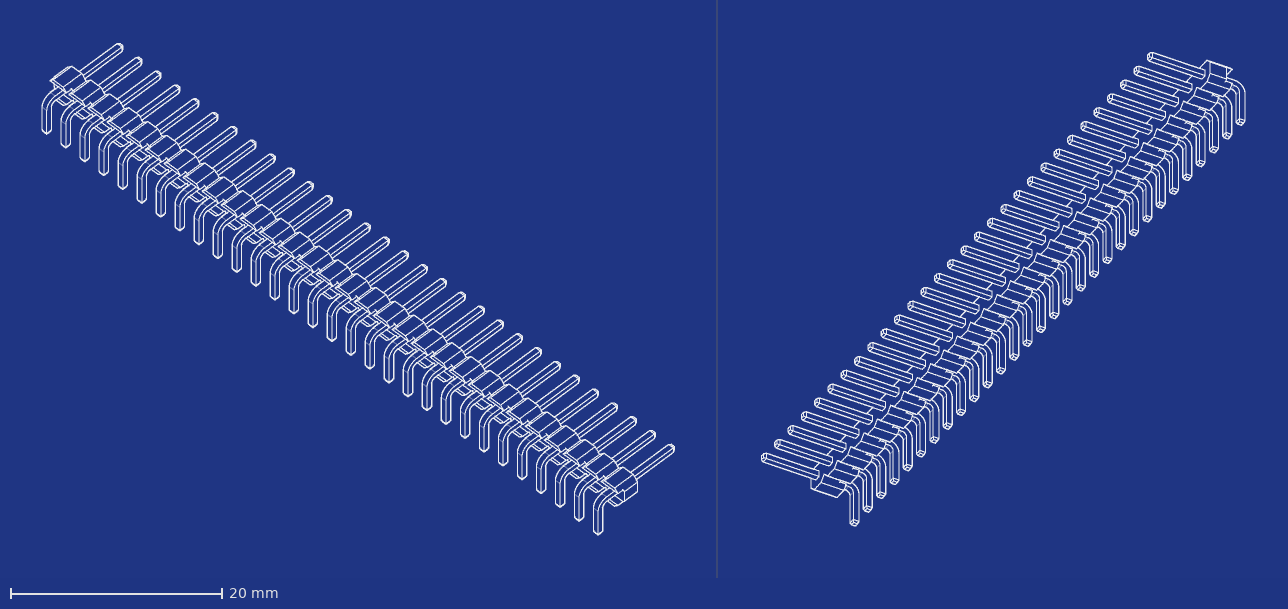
import cadquery as cq

PIN_COUNT = 30
PITCH = 2.54

TOTAL_DEPTH = 10.36
TOTAL_HEIGHT = 5.54

HOUSING_DEPTH = 2.5
HOUSING_HEIGHT = 2.54
CORNER_CHAMFER = 0.6
RECESS_DEPTH = 0.7
FLANGE_THICKNESS = 0.45

PIN_WIDTH = 0.64
TAIL_LENGTH = 6.0
BEND_INNER_RADIUS = 0.5
TIP_LENGTH = 0.25
TIP_WIDTH = 0.44

HOUSING_LENGTH = PIN_COUNT * PITCH
BEND_OUTER_RADIUS = BEND_INNER_RADIUS + PIN_WIDTH
HALF_PIN = PIN_WIDTH / 2
LEG_FRONT_Y = TAIL_LENGTH - TOTAL_DEPTH
LEG_BOTTOM_Z = HOUSING_HEIGHT / 2 - TOTAL_HEIGHT


def pin_positions():
    """X position of every pin along the row."""
    first = -(PIN_COUNT - 1) * PITCH / 2
    return [(first + i * PITCH, 0) for i in range(PIN_COUNT)]


def make_housing():
    """Row of eight-sided segments, with a recess along the front between two flanges."""
    segment = (
        cq.Workplane("XY")
        .box(PITCH, HOUSING_DEPTH, HOUSING_HEIGHT)
        .edges("|Y")
        .chamfer(CORNER_CHAMFER)
        .translate((0, -HOUSING_DEPTH / 2, 0))
        .val()
    )
    row = cq.Workplane("XY").pushPoints(pin_positions()).eachpoint(segment, combine=True)
    recess_height = HOUSING_HEIGHT - 2 * FLANGE_THICKNESS
    recess = (
        cq.Workplane("XY")
        .box(HOUSING_LENGTH, RECESS_DEPTH, recess_height)
        .translate((0, -HOUSING_DEPTH + RECESS_DEPTH / 2, 0))
    )
    return row.cut(recess)


def make_tip(plane):
    """Square pin end that tapers from the pin width to the tip width."""
    return (
        cq.Workplane(plane)
        .rect(PIN_WIDTH, PIN_WIDTH)
        .workplane(offset=TIP_LENGTH)
        .rect(TIP_WIDTH, TIP_WIDTH)
        .loft(ruled=True)
    )


def make_pin():
    """Square pin at X = 0 with a right-angle bend and two tapered ends."""
    tail_y = TAIL_LENGTH - TIP_LENGTH
    leg_z = LEG_BOTTOM_Z + TIP_LENGTH
    leg_back_y = LEG_FRONT_Y + PIN_WIDTH
    shank = (
        cq.Workplane("YZ")
        .moveTo(tail_y, HALF_PIN)
        .lineTo(LEG_FRONT_Y + BEND_OUTER_RADIUS, HALF_PIN)
        .radiusArc((LEG_FRONT_Y, HALF_PIN - BEND_OUTER_RADIUS), -BEND_OUTER_RADIUS)
        .lineTo(LEG_FRONT_Y, leg_z)
        .lineTo(leg_back_y, leg_z)
        .lineTo(leg_back_y, -HALF_PIN - BEND_INNER_RADIUS)
        .radiusArc((leg_back_y + BEND_INNER_RADIUS, -HALF_PIN), BEND_INNER_RADIUS)
        .lineTo(tail_y, -HALF_PIN)
        .close()
        .extrude(HALF_PIN, both=True)
    )
    tail_plane = cq.Plane((0, tail_y, 0), xDir=(1, 0, 0), normal=(0, 1, 0))
    leg_plane = cq.Plane((0, LEG_FRONT_Y + HALF_PIN, leg_z), xDir=(1, 0, 0), normal=(0, 0, -1))
    return shank.union(make_tip(tail_plane)).union(make_tip(leg_plane)).val()


pins = cq.Workplane("XY").pushPoints(pin_positions()).eachpoint(make_pin(), combine=False)
result = make_housing().union(pins)